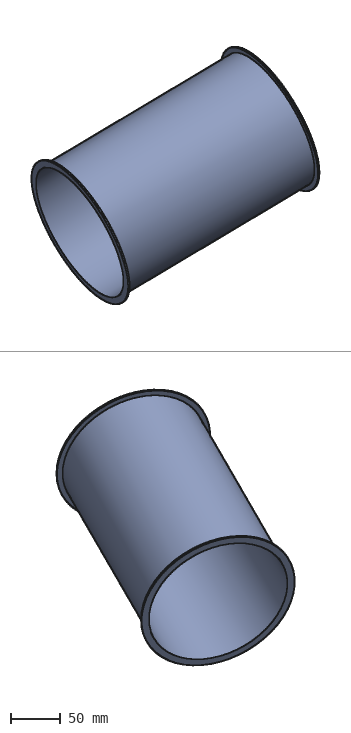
import cadquery as cq

length = 238.0
bore_diameter = 149.0
pipe_diameter = 153.0
flange_diameter = 165.0
flange_thickness = 2.0


def cylinder_along_y(diameter, start_y, height):
    """Solid cylinder that runs from start_y toward +Y."""
    base = cq.Workplane("XZ", origin=(0, start_y, 0))
    return base.circle(diameter / 2).extrude(-height)


start_y = -length / 2
pipe = cylinder_along_y(pipe_diameter, start_y, length)

for flange_start in (start_y, -start_y - flange_thickness):
    pipe = pipe.union(cylinder_along_y(flange_diameter, flange_start, flange_thickness))

result = pipe.cut(cylinder_along_y(bore_diameter, start_y, length))